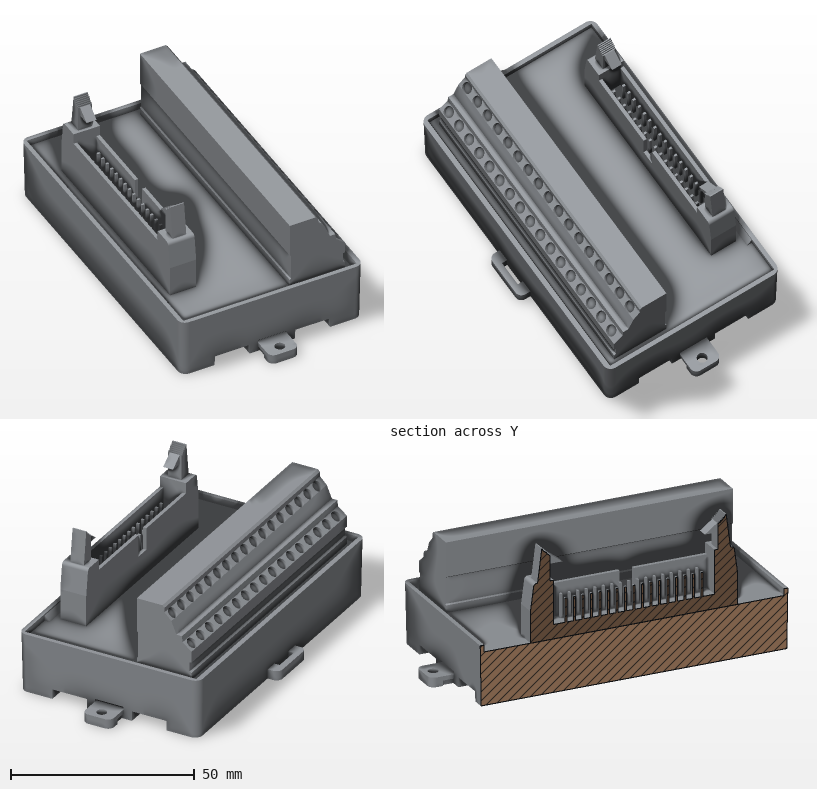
import cadquery as cq
import math

HOUSING_LENGTH = 92.7
HOUSING_WIDTH = 56.2
HOUSING_CENTER_Y = -0.1
HOUSING_HEIGHT = 18.0
HOUSING_DRAFT = 1.0
HOUSING_CORNER_RADIUS = 2.3
RIM = 1.3
REAR_RIM = 1.5
PANEL_DEPTH = 2.0
REAR_SLOPE_RUN = 0.7
GUTTER_DEPTH = 1.6
PANEL_Z = HOUSING_HEIGHT - PANEL_DEPTH
FRONT_INNER_Y = HOUSING_CENTER_Y - HOUSING_WIDTH / 2 + RIM
REAR_Y = HOUSING_CENTER_Y + HOUSING_WIDTH / 2
REAR_INNER_Y = REAR_Y - REAR_RIM

LEDGE_LENGTH = 10.2
LEDGE_CENTER_X = 28.9
LEDGE_SIZE = 1.6

CHANNEL_DEPTH = 3.0
CHANNEL_OUTER_Y = 17.8
CHANNEL_INNER_Y = 7.0
HOOK_TOP = 1.7
HOOK_LIP = 0.7
HOOK_FOOT = 0.9
REAR_HOOK_REACH = 1.6
FRONT_HOOK_REACH = 2.6

EAR_SPAN = 106.5
EAR_WIDTH = 8.9
EAR_HEIGHT = 2.9
EAR_RADIUS = 1.9
EAR_ROOT_X = 44.7
EAR_HOLE_DIAMETER = 3.0
EAR_HOLE_X = 50.3
EAR_POCKET_END_X = 49.4
EAR_POCKET_HEIGHT = 1.6
EAR_POCKET_DEPTH = 0.6
EAR_RELIEF_HEIGHT = 1.1
EAR_RELIEF_RUN = 1.1

TAB_WIDTH = 15.1
TAB_PROTRUSION = 3.3
TAB_BAR = 1.9
TAB_RADIUS = 1.9
TAB_SLOT_WIDTH = 7.8
TAB_ROOT_Y = 26.6

BLOCK_LENGTH = 86.3
BLOCK_FRONT_Y = 6.9
BLOCK_REAR_Y = 24.0
BLOCK_TOP = 36.8
WAIST_FRONT_INSET = 0.4
WAIST_REAR_INSET = 0.6
PLINTH_TOP = 18.2
WAIST_BEVEL = 0.3
WAIST_FRONT_TOP = 26.3
WAIST_REAR_TOP = 21.4
LOWER_FACE = ((24.0, 24.8), (21.2, 27.0))
UPPER_FACE = ((17.7, 32.7), (15.5, 34.8))
SHELF_Z = 28.9
SHELF_START_Y = 21.0
SHELF_END_Y = 19.3
TOP_BEVEL = 0.6
SCREW_COUNT = 17
SCREW_PITCH = 5.0
SCREW_OFFSET_X = 0.4
SCREW_HOLE_DIAMETER = 3.3
SCREW_HOLE_DEPTH = 1.2

HEADER_CENTER_Y = -19.6
HEADER_LENGTH = 62.4
HEADER_WIDTH = 8.1
HEADER_WALL_TOP = 30.1
POST_TOP = 33.3
POST_INNER_X = 24.2
POST_TOP_X = 30.1
POST_SHOULDER_RADIUS = 1.1
POST_LEAN_START = 25.3
SOCKET_WALL = 1.1
SOCKET_FLOOR = 20.2
KEY_WIDTH = 4.3
KEY_BOTTOM = 23.4
PIN_COLUMNS = 17
PIN_PITCH = 2.6
PIN_ROW_SPACING = 3.2
PIN_LENGTH_X = 0.6
PIN_LENGTH_Y = 0.9
PIN_TOP = 27.4

LATCH_WIDTH = 4.3
LATCH_INNER_X = 25.1
LATCH_OUTER_X = 29.1
LATCH_TIP = (27.8, 43.2)
TIP_FLAT = 0.3
GRIP_TEETH = 6
GRIP_DEPTH = 0.16
LATCH_SHOULDER_Z = 41.0
CLAW_WIDTH = 3.1
CLAW_TIP_X = 21.4
CLAW_BOTTOM = 38.2


def prism_along_x(points, length, center_x=0.0):
    """Extrude a (Y, Z) outline along X, centred on center_x."""
    start = center_x - length / 2
    return cq.Workplane("YZ", origin=(start, 0, 0)).polyline(points).close().extrude(length)


def prism_along_y(points, width, center_y):
    """Extrude an (X, Z) outline along Y, centred on center_y."""
    start = center_y + width / 2
    return cq.Workplane("XZ", origin=(0, start, 0)).polyline(points).close().extrude(width)


def box_between(x0, x1, y0, y1, z0, z1):
    return cq.Workplane("XY").box(x1 - x0, y1 - y0, z1 - z0, centered=False).translate((x0, y0, z0))


def make_rounded_rectangle(length, width):
    return cq.Sketch().rect(length, width).vertices().fillet(HOUSING_CORNER_RADIUS)


def make_shell():
    shrink = 2 * HOUSING_HEIGHT * math.tan(math.radians(HOUSING_DRAFT))
    bottom = make_rounded_rectangle(HOUSING_LENGTH - shrink, HOUSING_WIDTH - shrink)
    rim = make_rounded_rectangle(HOUSING_LENGTH, HOUSING_WIDTH)
    rim = rim.moved(cq.Location(cq.Vector(0, 0, HOUSING_HEIGHT)))
    shell = cq.Workplane("XY", origin=(0, HOUSING_CENTER_Y, 0)).placeSketch(bottom, rim).loft()
    recess = [
        (FRONT_INNER_Y, HOUSING_HEIGHT),
        (FRONT_INNER_Y, PANEL_Z),
        (REAR_INNER_Y - REAR_SLOPE_RUN, PANEL_Z),
        (REAR_INNER_Y - REAR_SLOPE_RUN, PANEL_Z - GUTTER_DEPTH),
        (REAR_INNER_Y, HOUSING_HEIGHT),
    ]
    return shell.cut(prism_along_x(recess, HOUSING_LENGTH - 2 * RIM))


def make_snap_ledge(center_x):
    outline = [
        (FRONT_INNER_Y, PANEL_Z),
        (FRONT_INNER_Y + LEDGE_SIZE, PANEL_Z),
        (FRONT_INNER_Y, PANEL_Z + LEDGE_SIZE),
    ]
    return prism_along_x(outline, LEDGE_LENGTH, center_x)


def make_rail_channel(side):
    near, far = sorted((side * CHANNEL_INNER_Y, side * CHANNEL_OUTER_Y))
    return box_between(-HOUSING_LENGTH, HOUSING_LENGTH, near, far, 0, CHANNEL_DEPTH)


def make_rail_hook(side, reach):
    outline = [
        (side * CHANNEL_OUTER_Y, 0),
        (side * (CHANNEL_OUTER_Y - HOOK_FOOT), 0),
        (side * (CHANNEL_OUTER_Y - reach), HOOK_TOP - HOOK_LIP),
        (side * (CHANNEL_OUTER_Y - reach), HOOK_TOP),
        (side * CHANNEL_OUTER_Y, HOOK_TOP),
    ]
    return prism_along_x(outline, TAB_WIDTH)


def make_left_ear():
    half_width = EAR_WIDTH / 2
    ear = box_between(-EAR_SPAN / 2, -EAR_ROOT_X, -half_width, half_width, 0, EAR_HEIGHT)
    ear = ear.edges("|Z and <X").fillet(EAR_RADIUS)
    hole = cq.Workplane("XY").center(-EAR_HOLE_X, 0).circle(EAR_HOLE_DIAMETER / 2).extrude(EAR_HEIGHT)
    pocket = box_between(
        -EAR_POCKET_END_X, -EAR_ROOT_X, -half_width, EAR_POCKET_DEPTH - half_width, 0, EAR_POCKET_HEIGHT
    )
    return ear.cut(hole).cut(pocket).cut(pocket.mirror("XZ"))


def make_left_ear_relief():
    wall_x = -HOUSING_LENGTH / 2
    top = EAR_HEIGHT + EAR_RELIEF_HEIGHT
    outline = [(wall_x, EAR_HEIGHT), (wall_x + EAR_RELIEF_RUN, EAR_HEIGHT), (wall_x, top)]
    return prism_along_y(outline, EAR_WIDTH, 0)


def make_pull_tab():
    rear = REAR_Y + TAB_PROTRUSION
    tab = box_between(-TAB_WIDTH / 2, TAB_WIDTH / 2, TAB_ROOT_Y, rear, 0, EAR_HEIGHT)
    tab = tab.edges("|Z and >Y").fillet(TAB_RADIUS)
    half_slot = TAB_SLOT_WIDTH / 2
    slot = box_between(-half_slot, half_slot, TAB_ROOT_Y, rear - TAB_BAR, 0, EAR_HEIGHT)
    return tab.cut(slot)


def make_housing():
    housing = make_shell()
    left_relief = make_left_ear_relief()
    left_ear = make_left_ear()
    housing = housing.cut(left_relief).cut(left_relief.mirror("YZ"))
    housing = housing.union(left_ear).union(left_ear.mirror("YZ")).union(make_pull_tab())
    for side in (-1, 1):
        housing = housing.union(make_snap_ledge(side * LEDGE_CENTER_X))
        housing = housing.cut(make_rail_channel(side))
    housing = housing.union(make_rail_hook(1, REAR_HOOK_REACH))
    return housing.union(make_rail_hook(-1, FRONT_HOOK_REACH))


def make_screw_holes(face):
    """Row of shallow blind holes square to a sloping (Y, Z) face."""
    (low_y, low_z), (high_y, high_z) = face
    middle = (SCREW_OFFSET_X, (low_y + high_y) / 2, (low_z + high_z) / 2)
    outward = (0, high_z - low_z, low_y - high_y)
    row = cq.Workplane(cq.Plane(origin=middle, xDir=(1, 0, 0), normal=outward))
    return row.rarray(SCREW_PITCH, 1.1, SCREW_COUNT, 1).circle(SCREW_HOLE_DIAMETER / 2).extrude(-SCREW_HOLE_DEPTH)


def make_terminal_block():
    front_waist_y = BLOCK_FRONT_Y + WAIST_FRONT_INSET
    rear_waist_y = BLOCK_REAR_Y - WAIST_REAR_INSET
    top_rear_y = UPPER_FACE[1][0]
    outline = [
        (BLOCK_FRONT_Y, PANEL_Z),
        (BLOCK_FRONT_Y, PLINTH_TOP),
        (front_waist_y, PLINTH_TOP + WAIST_BEVEL),
        (front_waist_y, WAIST_FRONT_TOP),
        (BLOCK_FRONT_Y, WAIST_FRONT_TOP + WAIST_BEVEL),
        (BLOCK_FRONT_Y, BLOCK_TOP),
        (top_rear_y - TOP_BEVEL, BLOCK_TOP),
        (top_rear_y, BLOCK_TOP - TOP_BEVEL),
        UPPER_FACE[1],
        UPPER_FACE[0],
        (SHELF_END_Y, SHELF_Z),
        (SHELF_START_Y, SHELF_Z),
        LOWER_FACE[1],
        LOWER_FACE[0],
        (BLOCK_REAR_Y, WAIST_REAR_TOP),
        (rear_waist_y, WAIST_REAR_TOP),
        (rear_waist_y, PLINTH_TOP + WAIST_BEVEL),
        (BLOCK_REAR_Y, PLINTH_TOP),
        (BLOCK_REAR_Y, PANEL_Z),
    ]
    block = prism_along_x(outline, BLOCK_LENGTH)
    return block.cut(make_screw_holes(LOWER_FACE)).cut(make_screw_holes(UPPER_FACE))


def make_header_shell():
    half_length = HEADER_LENGTH / 2
    right_half = [
        (half_length, PANEL_Z),
        (half_length, POST_LEAN_START),
        (POST_TOP_X, POST_TOP),
        (POST_INNER_X, POST_TOP),
        (POST_INNER_X, HEADER_WALL_TOP),
    ]
    left_half = [(-x, z) for x, z in reversed(right_half)]
    shell = prism_along_y(right_half + left_half, HEADER_WIDTH, HEADER_CENTER_Y)
    for side in (-1, 1):
        shoulder = cq.NearestToPointSelector((side * POST_TOP_X, HEADER_CENTER_Y, POST_TOP))
        shell = shell.edges("|Y").edges(shoulder).fillet(POST_SHOULDER_RADIUS)
    half_socket = HEADER_WIDTH / 2 - SOCKET_WALL
    rear_y = HEADER_CENTER_Y + HEADER_WIDTH / 2
    socket = box_between(
        -POST_INNER_X,
        POST_INNER_X,
        HEADER_CENTER_Y - half_socket,
        HEADER_CENTER_Y + half_socket,
        SOCKET_FLOOR,
        POST_TOP,
    )
    key = box_between(-KEY_WIDTH / 2, KEY_WIDTH / 2, HEADER_CENTER_Y, rear_y, KEY_BOTTOM, POST_TOP)
    return shell.cut(socket).cut(key)


def make_header_pins():
    pins = cq.Workplane("XY", origin=(0, HEADER_CENTER_Y, SOCKET_FLOOR))
    pins = pins.rarray(PIN_PITCH, PIN_ROW_SPACING, PIN_COLUMNS, 2).rect(PIN_LENGTH_X, PIN_LENGTH_Y)
    return pins.extrude(PIN_TOP - SOCKET_FLOOR)


def make_right_latch():
    tip_x, tip_z = LATCH_TIP
    grip_start_x = tip_x - TIP_FLAT
    tooth_run = (grip_start_x - LATCH_INNER_X) / GRIP_TEETH
    tooth_fall = (tip_z - LATCH_SHOULDER_Z) / GRIP_TEETH
    lever = [(LATCH_INNER_X, POST_TOP), (LATCH_OUTER_X, POST_TOP), LATCH_TIP]
    for tooth in range(GRIP_TEETH):
        crest_x = grip_start_x - tooth * tooth_run
        crest_z = tip_z - tooth * tooth_fall
        lever.append((crest_x, crest_z))
        lever.append((crest_x, crest_z - tooth_fall - GRIP_DEPTH))
    lever.append((LATCH_INNER_X, LATCH_SHOULDER_Z))
    claw = [(LATCH_INNER_X, CLAW_BOTTOM), (LATCH_INNER_X, LATCH_SHOULDER_Z), (CLAW_TIP_X, CLAW_BOTTOM)]
    lever_solid = prism_along_y(lever, LATCH_WIDTH, HEADER_CENTER_Y)
    return lever_solid.union(prism_along_y(claw, CLAW_WIDTH, HEADER_CENTER_Y))


def make_header():
    right_latch = make_right_latch()
    header = make_header_shell().union(make_header_pins())
    return header.union(right_latch).union(right_latch.mirror("YZ"))


housing = make_housing()
terminal_block = make_terminal_block()
header = make_header()

result = cq.Compound.makeCompound([housing.val(), terminal_block.val(), header.val()])